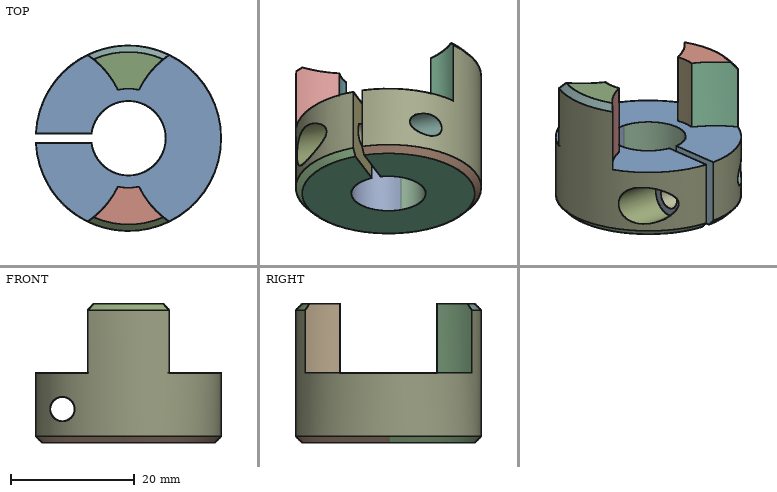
import cadquery as cq
import math

hub_radius = 15.0
bore_radius = 6.0
hub_height = 11.3
total_height = 22.48
edge_chamfer = 1.05
slit_width = 1.5

jaw_inner_radius = 8.0
jaw_inner_half_width = 1.7
jaw_outer_half_width = 6.6
jaw_flank_sag = 0.5

screw_x = -10.67
screw_z = 5.45
screw_hole_diameter = 3.9
screw_head_diameter = 6.4
screw_seat_y = 5.0


def chamfered_blank():
    """Full-height cylinder with both outer rims chamfered."""
    blank = cq.Workplane("XY").circle(hub_radius).extrude(total_height)
    return blank.faces("<Z or >Z").edges().chamfer(edge_chamfer)


def jaw_prism(side):
    """Upright prism bounding one jaw; side is +1 for +Y and -1 for -Y."""
    inner_y = math.sqrt(jaw_inner_radius**2 - jaw_inner_half_width**2)
    outer_y = math.sqrt(hub_radius**2 - jaw_outer_half_width**2)
    run_x = jaw_outer_half_width - jaw_inner_half_width
    run_y = outer_y - inner_y
    chord = math.hypot(run_x, run_y)
    middle_x = (jaw_inner_half_width + jaw_outer_half_width) / 2 - jaw_flank_sag * run_y / chord
    middle_y = (inner_y + outer_y) / 2 + jaw_flank_sag * run_x / chord
    return (
        cq.Workplane("XY", origin=(0, 0, hub_height))
        .moveTo(-jaw_inner_half_width, side * inner_y)
        .threePointArc((0, side * jaw_inner_radius), (jaw_inner_half_width, side * inner_y))
        .threePointArc((middle_x, side * middle_y), (jaw_outer_half_width, side * outer_y))
        .threePointArc((0, side * hub_radius), (-jaw_outer_half_width, side * outer_y))
        .threePointArc((-middle_x, side * middle_y), (-jaw_inner_half_width, side * inner_y))
        .close()
        .extrude(total_height - hub_height)
    )


def bore():
    return cq.Workplane("XY").circle(bore_radius).extrude(hub_height)


def clamp_slit():
    """Radial cut from the bore out through the -X side."""
    start = cq.Workplane("XY", origin=(-hub_radius, 0, 0))
    return start.box(hub_radius, slit_width, hub_height, centered=(False, True, False))


def cylinder_along_y(diameter, start_y, end_y):
    """Cylinder on the clamp screw axis."""
    start = cq.Vector(screw_x, start_y, screw_z)
    direction = cq.Vector(0, 1, 0)
    return cq.Workplane(cq.Solid.makeCylinder(diameter / 2, end_y - start_y, start, direction))


envelope = cq.Workplane("XY").circle(hub_radius).extrude(hub_height)
for jaw_side in (1, -1):
    envelope = envelope.union(jaw_prism(jaw_side))
result = chamfered_blank().intersect(envelope)

result = result.cut(bore()).cut(clamp_slit())
result = result.cut(cylinder_along_y(screw_hole_diameter, -hub_radius, hub_radius))
result = result.cut(cylinder_along_y(screw_head_diameter, screw_seat_y, hub_radius))